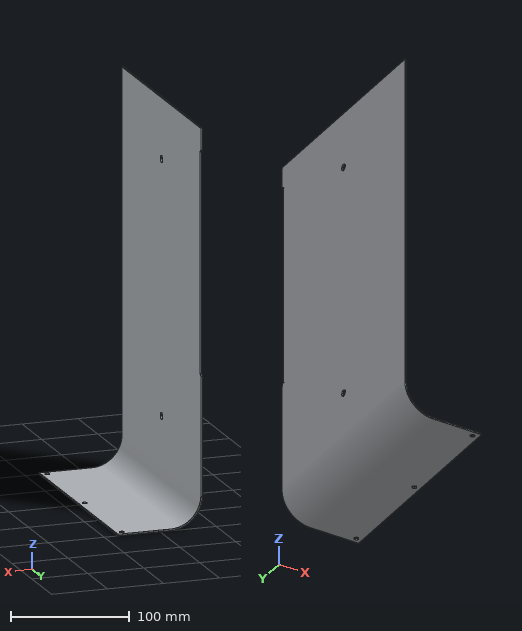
import cadquery as cq

height = 350.0
width = 200.0
flange_length = 75.5
thickness = 1.5
bend_radius = 28.5

panel_hole_diameter = 5.5
upper_hole_drop = 54.0
panel_hole_spacing = 225.0

flange_hole_diameter = 4.0
flange_hole_inset = 5.5

relief_depth = 2.0
relief_drop = 19.2
relief_length = 198.0


def bent_sheet():
    """L-shaped sheet, bent along Y, with the panel at X = 0."""
    inner_radius = bend_radius - thickness
    return (
        cq.Workplane("XZ")
        .moveTo(0, height)
        .lineTo(0, bend_radius)
        .radiusArc((bend_radius, 0), -bend_radius)
        .lineTo(flange_length, 0)
        .lineTo(flange_length, thickness)
        .lineTo(bend_radius, thickness)
        .radiusArc((thickness, bend_radius), inner_radius)
        .lineTo(thickness, height)
        .close()
        .extrude(width / 2, both=True)
    )


def panel_holes():
    upper_z = height - upper_hole_drop
    positions = [(0, upper_z), (0, upper_z - panel_hole_spacing)]
    return (
        cq.Workplane("YZ")
        .pushPoints(positions)
        .circle(panel_hole_diameter / 2)
        .extrude(thickness)
    )


def flange_holes():
    hole_x = flange_length - flange_hole_inset
    end_y = width / 2 - flange_hole_inset
    return (
        cq.Workplane("XY")
        .pushPoints([(hole_x, y) for y in (-end_y, 0, end_y)])
        .circle(flange_hole_diameter / 2)
        .extrude(thickness)
    )


def edge_relief():
    edge_y = width / 2
    floor_y = edge_y - relief_depth
    top_z = height - relief_drop
    bottom_z = top_z - relief_length
    return (
        cq.Workplane("YZ")
        .polyline([
            (edge_y, top_z),
            (floor_y, top_z - relief_depth),
            (floor_y, bottom_z + relief_depth),
            (edge_y, bottom_z),
        ])
        .close()
        .extrude(thickness)
    )


result = bent_sheet().cut(panel_holes()).cut(flange_holes()).cut(edge_relief())